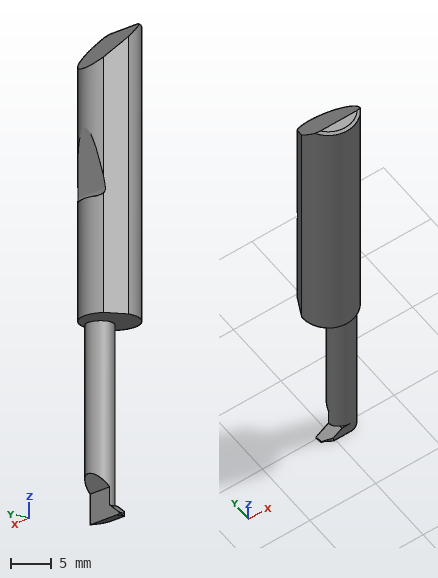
import cadquery as cq
import math

total_length = 63.5
neck_length = 25.4
shank_diameter = 7.9375
shank_radius = shank_diameter / 2

flat_direction = 154.6
flat_distance = 3.63
rim_chamfer_width = 0.4
rim_chamfer_height = 0.25
end_slope_y = -2.22
notch_bottom_z = 40.5
notch_depth = 1.36
notch_angle = 8.5
notch_corner_radius = 0.9

neck_width = 3.95
neck_depth = 3.68
neck_half_depth = neck_depth / 2
neck_max_x = shank_radius
neck_min_x = neck_max_x - neck_width
neck_x = neck_max_x - neck_width / 2
rake_runout_z = 4.1

head_height = 2.1
hook_root_x = 0.45
tip_x = -1.9
tip_top_z = 0.4
tip_corner_z = 0.25
nose_x = -1.75
nose_end_x = -1.55
bottom_z = 0.15
bottom_relief_angle = 11.0
flank_relief_angle = 10.0
side_relief_start_y = -0.85
side_relief_end_x = -0.55


def make_shank():
    """Cylinder with a chamfered upper rim."""
    return (
        cq.Workplane("XY")
        .workplane(offset=neck_length)
        .circle(shank_radius)
        .extrude(total_length - neck_length)
        .faces(">Z")
        .chamfer(rim_chamfer_height, rim_chamfer_width)
    )


def side_flat_cutter():
    """Block outside the flat that runs the full length of the shank."""
    return (
        cq.Workplane("XY")
        .workplane(offset=neck_length)
        .center(flat_distance + shank_radius, 0)
        .rect(2 * shank_radius, 2 * shank_diameter)
        .extrude(total_length)
        .rotate((0, 0, 0), (0, 0, 1), flat_direction)
    )


def extrude_across_x(outline):
    """Extrude a YZ outline through the whole width of the shank."""
    return outline.extrude(shank_diameter, both=True)


def end_slope_cutter():
    """Wedge above the 45 degree slope, which falls towards +Y."""
    run = shank_diameter
    return extrude_across_x(
        cq.Workplane("YZ")
        .moveTo(end_slope_y, total_length)
        .lineTo(end_slope_y + run, total_length - run)
        .lineTo(end_slope_y + run, total_length)
        .close()
    )


def notch_cutter():
    """Clamping notch on the +Y side: long ramp, rounded corner, short shoulder."""
    floor_y = shank_radius - notch_depth
    outer_y = shank_radius + notch_depth
    ramp_height = (outer_y - floor_y) / math.tan(math.radians(notch_angle))
    return extrude_across_x(
        cq.Workplane("YZ")
        .moveTo(floor_y, notch_bottom_z)
        .lineTo(outer_y, notch_bottom_z)
        .lineTo(outer_y, notch_bottom_z + ramp_height)
        .close()
    ).edges("|X and <Y").fillet(notch_corner_radius)


def make_neck():
    """Two-arc neck, cut back to its middle plane near the head."""
    neck = (
        cq.Workplane("XY")
        .moveTo(neck_min_x, 0)
        .threePointArc((neck_x, neck_half_depth), (neck_max_x, 0))
        .threePointArc((neck_x, -neck_half_depth), (neck_min_x, 0))
        .close()
        .extrude(neck_length)
    )
    rake_cutter = extrude_across_x(
        cq.Workplane("YZ")
        .moveTo(0, 0)
        .lineTo(0, rake_runout_z)
        .lineTo(neck_depth, rake_runout_z + neck_depth)
        .lineTo(neck_depth, 0)
        .close()
    )
    return neck.cut(rake_cutter)


def relief_cutter(outline, shift_x, shift_z):
    """Loft an XZ outline from the rake face (Y = 0) to a shifted copy at the back of the neck."""
    shifted = [(x + shift_x, z + shift_z) for x, z in outline]
    return (
        cq.Workplane("XZ")
        .polyline(outline)
        .close()
        .workplane(offset=neck_half_depth)
        .polyline(shifted)
        .close()
        .loft(ruled=True)
    )


def flank_cutter():
    """Space above the sloping flank and beyond the tip, with relief behind the edge."""
    outer_x = 2 * tip_x
    outline = [
        (hook_root_x, head_height),
        (tip_x, tip_top_z),
        (tip_x, -head_height),
        (outer_x, -head_height),
        (outer_x, head_height),
    ]
    shift_x = neck_half_depth * math.tan(math.radians(flank_relief_angle))
    return relief_cutter(outline, shift_x, 0)


def end_face_cutter():
    """Space below the nose and the end face, with relief behind the edge."""
    outline = [
        (tip_x, tip_corner_z),
        (nose_x, 0),
        (nose_end_x, bottom_z),
        (shank_diameter, bottom_z),
        (shank_diameter, -head_height),
        (tip_x, -head_height),
    ]
    rise = neck_half_depth * math.tan(math.radians(bottom_relief_angle))
    return relief_cutter(outline, 0, rise)


def make_hook():
    """Hook between the rake face at Y = 0 and the -Y side of the neck."""
    hook = (
        cq.Workplane("XY")
        .moveTo(tip_x, 0)
        .lineTo(tip_x, side_relief_start_y)
        .lineTo(side_relief_end_x, -neck_half_depth)
        .lineTo(neck_x, -neck_half_depth)
        .lineTo(neck_x, 0)
        .close()
        .extrude(head_height)
    )
    return hook.cut(flank_cutter())


shank = make_shank().cut(side_flat_cutter()).cut(end_slope_cutter()).cut(notch_cutter())
result = shank.union(make_neck()).union(make_hook()).cut(end_face_cutter())